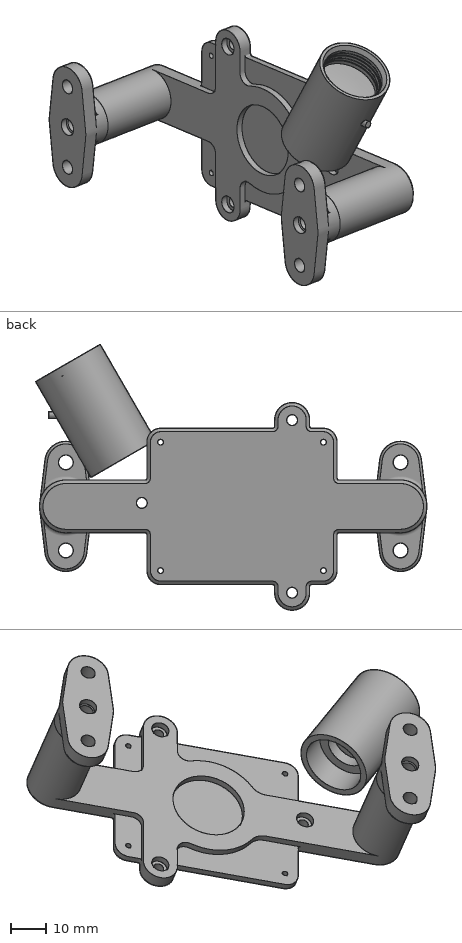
import cadquery as cq
import math


bracket_thickness = 5.0
back_chamfer = 1.0

plate_width = 54.0
plate_height = 44.4
plate_thickness = 3.0
plate_corner_radius = 4.0
plate_hole_diameter = 1.5
plate_hole_pitch_x = 46.2
plate_hole_pitch_z = 36.4
plate_joint_radius = 0.5

post_diameter = 15.0
post_reach = 29.8
left_post_x = -45.0
right_post_x = 50.0
post_centers_x = (left_post_x, right_post_x)
arm_width = post_diameter

strap_x = -14.2
strap_width = 10.0
strap_hole_pitch = 49.0

boss_radius = 16.0
recess_diameter = 21.0
recess_depth = bracket_thickness - plate_thickness
strap_fillet = 3.0
arm_fillet = 5.0

screw_diameter = 3.0
screw_head_diameter = 5.0
screw_head_depth = 2.0
arm_screw_x = 28.4
arm_screw_z = 1.0

foot_thickness = 5.0
neck_length = 3.8
foot_end_radius = 6.0
foot_hole_offset = 12.5
foot_hole_diameter = 4.1
foot_chamfer = 0.8
neck_fillet = 1.0
foot_screw_diameter = 4.3
foot_screw_mouth_diameter = 5.0
foot_screw_mouth_depth = 2.3
foot_screw_mouth_chamfer = (foot_screw_mouth_diameter - foot_screw_diameter) / 2
post_screw_diameter = 3.5
post_screw_depth = 10.0

barrel_diameter = 21.2
barrel_length = 31.4
barrel_tilt = 30.0
barrel_center = (41.5, -16.2, 27.1)
rear_bore_diameter = 17.5
rear_bore_depth = 7.8
rear_hole_diameter = 12.0
rear_hole_depth = 3.3
mouth_diameter = 19.3
mouth_depth = 1.3
front_bore_diameter = 17.5
front_bore_depth = 7.0
groove_diameter = 18.2
groove_width = 1.1
groove_depths = (2.4, 4.7)
lens_rise = 0.9
stud_diameter = 2.0
stud_tip_x = 54.9
stud_length = 3.2
stud_z = 25.9


def cylinder_y(diameter, front_y, back_y, x=0.0, z=0.0):
    """A cylinder along Y between two Y positions."""
    return cq.Workplane("XZ", origin=(x, back_y, z)).circle(diameter / 2).extrude(back_y - front_y)


def fillet_corners(body, corners, radius):
    """Round the edges along Y nearest to the given (x, z) corners and their mirror images."""
    for x, z in corners:
        for side in (1, -1):
            nearest = cq.selectors.NearestToPointSelector((x, -plate_thickness / 2, side * z))
            body = body.edges("|Y").edges(nearest).fillet(radius)
    return body


def make_frame():
    """Arm, strap and round boss in one outline, with filleted inner corners."""
    sheet = cq.Workplane("XZ")
    arm_middle = (left_post_x + right_post_x) / 2
    arm_length = right_post_x - left_post_x
    arm = sheet.center(arm_middle, 0).rect(arm_length, arm_width).extrude(bracket_thickness)
    strap_length = strap_hole_pitch + strap_width
    strap = sheet.center(strap_x, 0).slot2D(strap_length, strap_width, 90).extrude(bracket_thickness)
    boss = sheet.circle(boss_radius).extrude(bracket_thickness)
    frame = arm.union(strap).union(boss)

    arm_edge = arm_width / 2
    strap_left = strap_x - strap_width / 2
    strap_right = strap_x + strap_width / 2
    boss_at_strap = math.sqrt(boss_radius**2 - strap_right**2)
    boss_at_arm = math.sqrt(boss_radius**2 - arm_edge**2)
    strap_corners = [(strap_left, arm_edge), (strap_right, boss_at_strap)]
    frame = fillet_corners(frame, strap_corners, strap_fillet)
    return fillet_corners(frame, [(boss_at_arm, arm_edge)], arm_fillet)


def add_plate(frame):
    """Add the thin back plate and round the corners where it meets the frame."""
    plate = cq.Workplane("XZ").rect(plate_width, plate_height).extrude(plate_thickness)
    plate = plate.edges("|Y").fillet(plate_corner_radius)
    joints = [
        (-plate_width / 2, arm_width / 2),
        (plate_width / 2, arm_width / 2),
        (strap_x - strap_width / 2, plate_height / 2),
        (strap_x + strap_width / 2, plate_height / 2),
    ]
    return fillet_corners(frame.union(plate), joints, plate_joint_radius)


def make_bracket():
    bracket = add_plate(make_frame())
    for x in post_centers_x:
        bracket = bracket.union(cylinder_y(post_diameter, -post_reach, 0, x))
    bracket = bracket.faces(">Y").edges().chamfer(back_chamfer)

    for x in post_centers_x:
        tapped_hole = cylinder_y(post_screw_diameter, -post_reach, post_screw_depth - post_reach, x)
        bracket = bracket.cut(tapped_hole)

    recess = cylinder_y(recess_diameter, -bracket_thickness, recess_depth - bracket_thickness)
    bracket = bracket.cut(recess)

    for side_x in (1, -1):
        for side_z in (1, -1):
            hole_x = side_x * plate_hole_pitch_x / 2
            hole_z = side_z * plate_hole_pitch_z / 2
            bracket = bracket.cut(cylinder_y(plate_hole_diameter, -plate_thickness, 0, hole_x, hole_z))

    screw_places = [
        (strap_x, strap_hole_pitch / 2),
        (strap_x, -strap_hole_pitch / 2),
        (arm_screw_x, arm_screw_z),
    ]
    head_floor_y = screw_head_depth - bracket_thickness
    for x, z in screw_places:
        bracket = bracket.cut(cylinder_y(screw_diameter, -bracket_thickness, 0, x, z))
        bracket = bracket.cut(cylinder_y(screw_head_diameter, -bracket_thickness, head_floor_y, x, z))
    return bracket


def foot_outline(inset=0.0):
    """Closed outline of a round middle and two round ends joined by tangent lines, less an inset."""
    middle_radius = post_diameter / 2 - inset
    end_radius = foot_end_radius - inset
    lean = math.asin((middle_radius - end_radius) / foot_hole_offset)
    middle_x = middle_radius * math.cos(lean)
    middle_z = middle_radius * math.sin(lean)
    end_x = end_radius * math.cos(lean)
    end_z = foot_hole_offset + end_radius * math.sin(lean)
    tip_z = foot_hole_offset + end_radius
    return (
        cq.Workplane("XZ")
        .moveTo(middle_x, middle_z)
        .lineTo(end_x, end_z)
        .threePointArc((0, tip_z), (-end_x, end_z))
        .lineTo(-middle_x, middle_z)
        .threePointArc((-middle_radius, 0), (-middle_x, -middle_z))
        .lineTo(-end_x, -end_z)
        .threePointArc((0, -tip_z), (end_x, -end_z))
        .lineTo(middle_x, -middle_z)
        .threePointArc((middle_radius, 0), (middle_x, middle_z))
        .close()
    )


def make_foot(x):
    """A foot whose neck stands on the end of the post at the given X."""
    neck_radius = post_diameter / 2
    pad = foot_outline().extrude(foot_thickness)
    pad = pad.faces(">Y").edges().chamfer(foot_chamfer)
    neck = cylinder_y(post_diameter, -foot_thickness, neck_length)

    bend = neck_fillet * (1 - math.sqrt(0.5))
    flare = (
        cq.Workplane("XY")
        .lineTo(neck_radius + neck_fillet, 0)
        .threePointArc((neck_radius + bend, bend), (neck_radius, neck_fillet))
        .lineTo(0, neck_fillet)
        .close()
        .revolve(360, (0, 0, 0), (0, 1, 0))
    )
    flare = flare.intersect(foot_outline(foot_chamfer).extrude(-neck_fillet))
    foot = pad.union(neck).union(flare)

    foot = foot.cut(cylinder_y(foot_screw_diameter, -foot_thickness, neck_length))
    mouth = cylinder_y(foot_screw_mouth_diameter, -foot_thickness, foot_screw_mouth_depth - foot_thickness)
    mouth = mouth.faces(">Y").chamfer(foot_screw_mouth_chamfer)
    foot = foot.cut(mouth)
    for z in (foot_hole_offset, -foot_hole_offset):
        foot = foot.cut(cylinder_y(foot_hole_diameter, -foot_thickness, 0, 0, z))
    return foot.translate((x, -post_reach - neck_length, 0))


def tilt_barrel(shape):
    """Lean a shape built along Z towards +X and put it at the barrel's centre."""
    return shape.rotate((0, 0, 0), (0, 1, 0), barrel_tilt).translate(barrel_center)


def make_rear_bore():
    """Stepped blind bore in the lower end: a wide socket and a narrower hole."""
    lower_end = cq.Workplane("XY", origin=(0, 0, -barrel_length / 2))
    socket = lower_end.circle(rear_bore_diameter / 2).extrude(rear_bore_depth)
    hole = lower_end.circle(rear_hole_diameter / 2).extrude(rear_bore_depth + rear_hole_depth)
    return socket.union(hole)


def dome_point(floor):
    """Point (x, z) on the lens dome, halfway from its axis to its rim."""
    radius = front_bore_diameter / 2
    dome_radius = (radius**2 + lens_rise**2) / (2 * lens_rise)
    x = radius / 2
    return x, floor + lens_rise - dome_radius + math.sqrt(dome_radius**2 - x**2)


def make_front_bore():
    """Grooved bore in the upper end with a flared mouth and a domed lens as its floor."""
    top = barrel_length / 2
    floor = top - front_bore_depth
    bore = (
        cq.Workplane("XZ")
        .moveTo(0, floor + lens_rise)
        .threePointArc(dome_point(floor), (front_bore_diameter / 2, floor))
        .lineTo(front_bore_diameter / 2, top - mouth_depth)
        .lineTo(mouth_diameter / 2, top)
        .lineTo(0, top)
        .close()
        .revolve(360, (0, 0, 0), (0, 1, 0))
    )
    for depth in groove_depths:
        groove = cq.Workplane("XY", origin=(0, 0, top - depth - groove_width))
        bore = bore.union(groove.circle(groove_diameter / 2).extrude(groove_width))
    return bore


def make_barrel():
    """A tilted tube, bored from both ends, with a small stud on its +X side."""
    blank = cq.Workplane("XY", origin=(0, 0, -barrel_length / 2))
    body = tilt_barrel(blank.circle(barrel_diameter / 2).extrude(barrel_length))
    stud_place = cq.Workplane("YZ", origin=(stud_tip_x - stud_length, barrel_center[1], stud_z))
    body = body.union(stud_place.circle(stud_diameter / 2).extrude(stud_length))
    return body.cut(tilt_barrel(make_rear_bore())).cut(tilt_barrel(make_front_bore()))


bracket = make_bracket()
feet = [make_foot(x) for x in post_centers_x]
barrel = make_barrel()
result = cq.Compound.makeCompound([bracket.val(), *[foot.val() for foot in feet], barrel.val()])